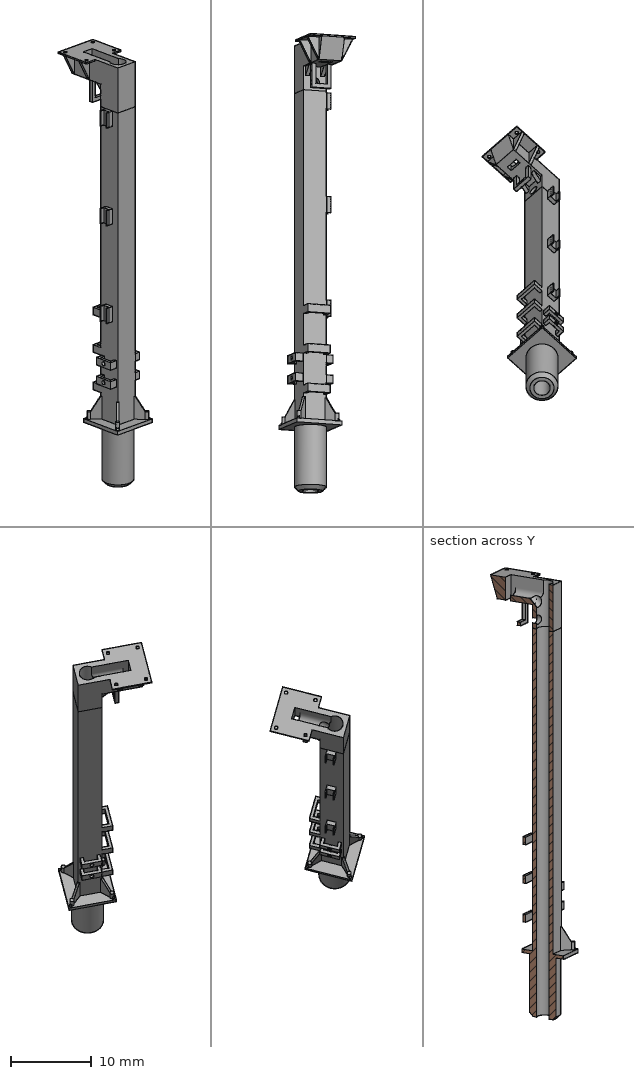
import cadquery as cq
import math

TOTAL_HEIGHT = 56
TOTAL_LENGTH = 10.5
BASE_SIZE = 6.0
POST_SIZE = 3.0
BORE_DIAMETER = 2.0

SPIGOT_DIAMETER = 4.0
SPIGOT_LENGTH = 8.0
SPIGOT_CHAMFER = 0.5

FLANGE_THICKNESS = 0.5
STUD_DIAMETER = 0.5
STUD_HEIGHT = 1.0
STUD_OFFSET = 2.5
RIB_THICKNESS = 0.3
RIB_HEIGHT = 3.0
RIB_FOOT_OFFSET = 2.8

LOOP_HEIGHT = 1.0
LOOP_WALL = 0.4
FRONT_LOOP_REACH = 1.35
FRONT_LOOP_COUNT = 3
FRONT_LOOP_FIRST = 3.5
FRONT_LOOP_PITCH = 5.0
SIDE_LOOP_WIDTH = 2.5
SIDE_LOOP_REACH = 1.0
SIDE_LOOP_COUNT = 2
SIDE_LOOP_FIRST = 5.0
SIDE_LOOP_PITCH = 2.5
SIDE_LOOP_HOLE = 0.5

CLIP_WIDTH = 1.2
CLIP_HEIGHT = 2.0
CLIP_REACH = 1.0
CLIP_COUNT = 3
CLIP_PITCH = 13.0
CLIP_GROOVE_WIDTH = 0.9
CLIP_GROOVE_DEPTH = 0.5

HEAD_HEIGHT = 6.0
ARM_HEIGHT = HEAD_HEIGHT / 2
ARM_END_SETBACK = 0.925
PLATE_LENGTH = 5.0
PLATE_THICKNESS = 0.2
PLATE_HOLE_DIAMETER = 0.4
PLATE_HOLE_INSET = 0.6
GUSSET_THICKNESS = 0.4
GUSSET_PITCH = 2.7
CHANNEL_WIDTH = 1.5
CHANNEL_FLOOR = 0.6
DROP_START_X = -2.0
WINDOW_START_X = -5.3
WINDOW_LENGTH = 0.7

FRAME_START_X = -3.7
FRAME_THICKNESS = 0.5
FRAME_WIDTH = 2.5
FRAME_WALL = (FRAME_WIDTH - CHANNEL_WIDTH) / 2
BRACE_LEG = 1.2
CABLE_HOLE_DIAMETER = 1.2
CABLE_HOLE_HEIGHT = 1.0

POST_HALF = POST_SIZE / 2
BASE_HALF = BASE_SIZE / 2
FLANGE_TOP = SPIGOT_LENGTH + FLANGE_THICKNESS
MAST_TOP = TOTAL_HEIGHT - HEAD_HEIGHT
ARM_BOTTOM = TOTAL_HEIGHT - ARM_HEIGHT
ARM_TIP_X = BASE_HALF - TOTAL_LENGTH
CHANNEL_FLOOR_Z = ARM_BOTTOM + CHANNEL_FLOOR
ARM_FOOT_X = ARM_TIP_X + ARM_END_SETBACK
PLATE_CENTER_X = ARM_TIP_X + PLATE_LENGTH / 2


def box(x_min, x_max, y_min, y_max, z_min, z_max):
    """Box between the given coordinates."""
    size = (x_max - x_min, y_max - y_min, z_max - z_min)
    return cq.Workplane("XY").box(*size, centered=False).translate((x_min, y_min, z_min))


def cylinder(start, direction, diameter, length):
    """Cylinder from a start point along a direction."""
    return cq.Workplane(cq.Solid.makeCylinder(diameter / 2, length, cq.Vector(*start), cq.Vector(*direction)))


def spigot():
    """Round mounting spigot, chamfered at its lower end."""
    body = cq.Workplane("XY").circle(SPIGOT_DIAMETER / 2).extrude(SPIGOT_LENGTH)
    return body.faces("<Z").chamfer(SPIGOT_CHAMFER)


def corner_rib_and_stud(angle):
    """Diagonal triangular rib and the stud at its foot, turned to one flange corner."""
    foot = RIB_FOOT_OFFSET * math.sqrt(2)
    post_corner = POST_HALF * math.sqrt(2)
    rib = (
        cq.Workplane("XZ")
        .polyline([
            (0, FLANGE_TOP),
            (foot, FLANGE_TOP),
            (post_corner, FLANGE_TOP + RIB_HEIGHT),
            (0, FLANGE_TOP + RIB_HEIGHT),
        ])
        .close()
        .extrude(RIB_THICKNESS / 2, both=True)
    )
    stud = cylinder((STUD_OFFSET * math.sqrt(2), 0, FLANGE_TOP), (0, 0, 1), STUD_DIAMETER, STUD_HEIGHT)
    return rib.union(stud).rotate((0, 0, 0), (0, 0, 1), angle)


def loop(width, reach, bottom):
    """U-shaped loop standing out from the -X face of the post."""
    outer_x = -POST_HALF - reach
    half = width / 2
    body = box(outer_x, -POST_HALF, -half, half, bottom, bottom + LOOP_HEIGHT)
    inner_half = half - LOOP_WALL
    opening = box(outer_x + LOOP_WALL, -POST_HALF, -inner_half, inner_half, bottom, bottom + LOOP_HEIGHT)
    return body.cut(opening)


def side_loop(bottom, angle):
    """Narrow loop with a hole through its bar, turned about Z to one side of the post."""
    outer_x = -POST_HALF - SIDE_LOOP_REACH
    hole = cylinder((outer_x, 0, bottom + LOOP_HEIGHT / 2), (1, 0, 0), SIDE_LOOP_HOLE, LOOP_WALL)
    body = loop(SIDE_LOOP_WIDTH, SIDE_LOOP_REACH, bottom).cut(hole)
    return body.rotate((0, 0, 0), (0, 0, 1), angle)


def cable_clip(top):
    """Block on the -Y face with a vertical groove in its outer side."""
    outer_y = -POST_HALF - CLIP_REACH
    half = CLIP_WIDTH / 2
    groove_half = CLIP_GROOVE_WIDTH / 2
    body = box(-half, half, outer_y, -POST_HALF, top - CLIP_HEIGHT, top)
    groove = box(-groove_half, groove_half, outer_y, outer_y + CLIP_GROOVE_DEPTH, top - CLIP_HEIGHT, top)
    return body.cut(groove)


def build_mast():
    """Spigot, flange and square post in one piece, with all its ribs, loops and clips."""
    mast = spigot()
    mast = mast.union(box(-BASE_HALF, BASE_HALF, -BASE_HALF, BASE_HALF, SPIGOT_LENGTH, FLANGE_TOP))
    mast = mast.union(box(-POST_HALF, POST_HALF, -POST_HALF, POST_HALF, FLANGE_TOP, MAST_TOP))
    for angle in (45, 135, 225, 315):
        mast = mast.union(corner_rib_and_stud(angle))
    for i in range(FRONT_LOOP_COUNT):
        bottom = FLANGE_TOP + FRONT_LOOP_FIRST + i * FRONT_LOOP_PITCH
        mast = mast.union(loop(POST_SIZE, FRONT_LOOP_REACH, bottom))
    for i in range(SIDE_LOOP_COUNT):
        bottom = FLANGE_TOP + SIDE_LOOP_FIRST + i * SIDE_LOOP_PITCH
        for angle in (-90, 90):
            mast = mast.union(side_loop(bottom, angle))
    for i in range(CLIP_COUNT):
        mast = mast.union(cable_clip(MAST_TOP - i * CLIP_PITCH))
    return mast.cut(cylinder((0, 0, 0), (0, 0, 1), BORE_DIAMETER, MAST_TOP))


def arm():
    """Arm from the post to the tip, ending in a face that slopes inward toward its foot."""
    return (
        cq.Workplane("XZ")
        .polyline([
            (ARM_TIP_X, TOTAL_HEIGHT),
            (ARM_TIP_X, TOTAL_HEIGHT - PLATE_THICKNESS),
            (ARM_FOOT_X, ARM_BOTTOM),
            (0, ARM_BOTTOM),
            (0, TOTAL_HEIGHT),
        ])
        .close()
        .extrude(POST_HALF, both=True)
    )


def arm_plate():
    """Thin plate on top of the arm with a hole near each corner."""
    plate = box(
        ARM_TIP_X, ARM_TIP_X + PLATE_LENGTH, -BASE_HALF, BASE_HALF, TOTAL_HEIGHT - PLATE_THICKNESS, TOTAL_HEIGHT
    )
    hole_pattern_x = PLATE_LENGTH - 2 * PLATE_HOLE_INSET
    hole_pattern_y = BASE_SIZE - 2 * PLATE_HOLE_INSET
    return (
        plate.faces(">Z")
        .workplane(origin=(PLATE_CENTER_X, 0, TOTAL_HEIGHT))
        .rect(hole_pattern_x, hole_pattern_y, forConstruction=True)
        .vertices()
        .hole(PLATE_HOLE_DIAMETER)
    )


def arm_gusset(x_min):
    """Web across the arm whose sloping sides carry the overhanging plate."""
    return (
        cq.Workplane("YZ", origin=(x_min, 0, 0))
        .polyline([
            (-POST_HALF, ARM_BOTTOM),
            (POST_HALF, ARM_BOTTOM),
            (BASE_HALF, TOTAL_HEIGHT - PLATE_THICKNESS),
            (-BASE_HALF, TOTAL_HEIGHT - PLATE_THICKNESS),
        ])
        .close()
        .extrude(GUSSET_THICKNESS)
    )


def hanging_frame():
    """U-shaped frame hanging under the arm, level with the joint at its lower edge."""
    half = FRAME_WIDTH / 2
    opening_half = CHANNEL_WIDTH / 2
    end_x = FRAME_START_X + FRAME_THICKNESS
    frame = box(FRAME_START_X, end_x, -half, half, MAST_TOP, ARM_BOTTOM)
    opening = box(FRAME_START_X, end_x, -opening_half, opening_half, MAST_TOP + FRAME_WALL, ARM_BOTTOM)
    return frame.cut(opening)


def arm_brace(y_min):
    """45 degree brace between the arm and the post."""
    return (
        cq.Workplane("XZ", origin=(0, y_min, 0))
        .polyline([
            (-POST_HALF, ARM_BOTTOM),
            (-POST_HALF - BRACE_LEG, ARM_BOTTOM),
            (-POST_HALF, ARM_BOTTOM - BRACE_LEG),
        ])
        .close()
        .extrude(-FRAME_WALL)
    )


def cable_channel():
    """Round-bottomed channel along the arm, open at the top, from the window to the bore."""
    half = CHANNEL_WIDTH / 2
    axis_z = CHANNEL_FLOOR_Z + half
    start_x = WINDOW_START_X + WINDOW_LENGTH
    floor = cylinder((start_x, 0, axis_z), (1, 0, 0), CHANNEL_WIDTH, -start_x)
    slot = box(start_x, 0, -half, half, axis_z, TOTAL_HEIGHT)
    return floor.union(slot)


def cable_drop():
    """Round hole that leaves the channel floor at 45 degrees and runs down into the bore."""
    radius = CABLE_HOLE_DIAMETER / 2
    axis_shift = radius / math.sqrt(2)
    start_x = DROP_START_X + axis_shift - radius
    start_z = CHANNEL_FLOOR_Z + axis_shift + radius
    length = -start_x * math.sqrt(2)
    return cylinder((start_x, 0, start_z), (1, 0, -1), CABLE_HOLE_DIAMETER, length)


def build_lamp_head():
    """Top of the post with the arm, its plate, gussets, hanging frame and cable passages."""
    head = box(-POST_HALF, POST_HALF, -POST_HALF, POST_HALF, MAST_TOP, TOTAL_HEIGHT)
    head = head.union(arm()).union(arm_plate()).union(hanging_frame())
    for x_min in (ARM_FOOT_X, ARM_FOOT_X + GUSSET_PITCH):
        head = head.union(arm_gusset(x_min))
    for y_min in (-FRAME_WIDTH / 2, CHANNEL_WIDTH / 2):
        head = head.union(arm_brace(y_min))
    half = CHANNEL_WIDTH / 2
    window_end_x = WINDOW_START_X + WINDOW_LENGTH
    head = head.cut(box(WINDOW_START_X, window_end_x, -half, half, ARM_BOTTOM, TOTAL_HEIGHT))
    head = head.cut(cable_channel()).cut(cable_drop())
    head = head.cut(cylinder((0, 0, MAST_TOP), (0, 0, 1), BORE_DIAMETER, HEAD_HEIGHT))
    cable_hole_z = MAST_TOP + CABLE_HOLE_HEIGHT
    return head.cut(cylinder((-POST_HALF, 0, cable_hole_z), (1, 0, 0), CABLE_HOLE_DIAMETER, POST_HALF))


mast = build_mast()
lamp_head = build_lamp_head()
result = cq.Compound.makeCompound([mast.val(), lamp_head.val()])